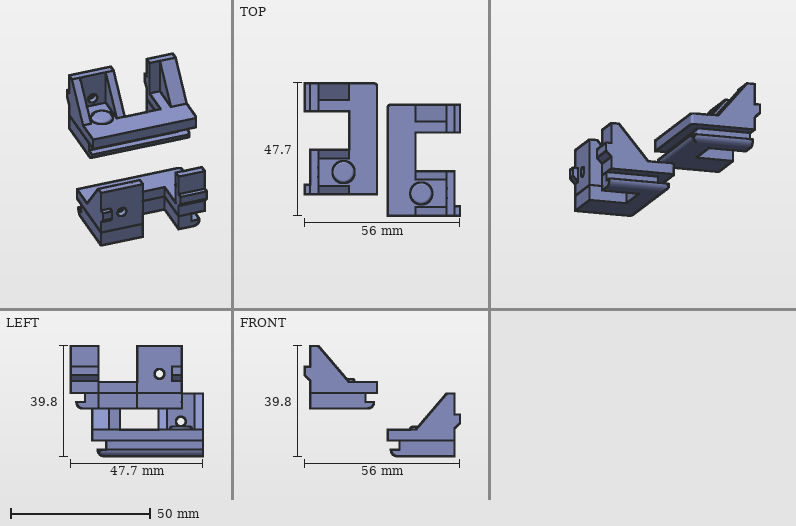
import cadquery as cq

OVERALL_X = 55.95
SHIFT_Y = -7.69
SHIFT_Z = -17.16

BASE_HEIGHT = 5.6
PLATE_THICKNESS = 4.0
BRACKET_HEIGHT = 17.0
PLATE_BOTTOM = BASE_HEIGHT
PLATE_TOP = PLATE_BOTTOM + PLATE_THICKNESS
WALL_TOP = PLATE_BOTTOM + BRACKET_HEIGHT

TOOTH_DEPTH = 2.0
WALL_THICKNESS = 2.9
RIB_RUN = 11.1
SPINE_WIDTH = 10.1
WALL_X = TOOTH_DEPTH
WALL_INNER_X = WALL_X + WALL_THICKNESS
SPINE_X = WALL_INNER_X + RIB_RUN
PLATE_END_X = SPINE_X + SPINE_WIDTH

LENGTH = 40.0
FRONT_LEG_WIDTH = 16.1
BACK_LEG_WIDTH = 10.1
BACK_LEG_Y = LENGTH - BACK_LEG_WIDTH
FRONT_RIB_WIDTH = 3.1
BACK_RIB_WIDTH = 6.1
FRONT_TOOTH_WIDTH = 3.5
PLATE_CORNER_RADIUS = 1.1

TOOTH_TOP = PLATE_BOTTOM + 9.5
TOOTH_TIP_BOTTOM = PLATE_BOTTOM + 6.4
TOOTH_ROOT = TOOTH_TIP_BOTTOM - TOOTH_DEPTH

HOLE_DIAMETER = 3.45
HOLE_Y = FRONT_LEG_WIDTH / 2
HOLE_Z = PLATE_BOTTOM + 6.9

LIP_HEIGHT = 2.45
LIP_INSET_X = 1.1
LIP_INSET_Y = 2.0
GROOVE_DEPTH = 3.1
LIP_CORNER_RADIUS = 1.25
NECK_CORNER_RADIUS = 1.0
LIP_ROUND_RADIUS = LIP_HEIGHT

BUTTON_DIAMETER = 8.0
BUTTON_HEIGHT = 1.08
BUTTON_ROUND_RADIUS = 1.0
BUTTON_X = SPINE_X - 2.0
BUTTON_Y = HOLE_Y


def box(x0, x1, y0, y1, z0, z1):
    """Box between two limits on each axis."""
    return cq.Workplane("XY").box(x1 - x0, y1 - y0, z1 - z0, centered=False).translate((x0, y0, z0))


def side_profile(points, y0, width):
    """Prism with an XZ outline, running from y0 toward +Y."""
    return cq.Workplane("XZ", origin=(0, y0, 0)).polyline(points).close().extrude(-width)


def leg_opening(z0, z1):
    """Space between the two legs, open toward the wall side."""
    return box(0, SPINE_X, FRONT_LEG_WIDTH, BACK_LEG_Y, z0, z1)


def slab(x1, y1, z0, z1, corner_radius):
    """Slab from the wall face and front face, rounded at its back spine corner."""
    return box(WALL_X, x1, 0, y1, z0, z1).edges("|Z and >X and >Y").fillet(corner_radius)


def rib(y0, width):
    """Triangular rib between wall top and plate."""
    outline = [(WALL_INNER_X, PLATE_TOP), (SPINE_X, PLATE_TOP), (WALL_INNER_X, WALL_TOP)]
    return side_profile(outline, y0, width)


def tooth(y0, width):
    """Latching tooth on the outside of the wall."""
    outline = [
        (WALL_X, TOOTH_TOP),
        (0, TOOTH_TOP),
        (0, TOOTH_TIP_BOTTOM),
        (WALL_X, TOOTH_ROOT),
    ]
    return side_profile(outline, y0, width)


def make_bracket():
    """C-shaped plate with a ribbed, toothed wall on each leg."""
    bracket = slab(PLATE_END_X, LENGTH, PLATE_BOTTOM, PLATE_TOP, PLATE_CORNER_RADIUS)
    bracket = bracket.union(box(WALL_X, WALL_INNER_X, 0, LENGTH, PLATE_BOTTOM, WALL_TOP))
    bracket = bracket.cut(leg_opening(PLATE_BOTTOM, WALL_TOP))

    front_inner_rib_y = FRONT_LEG_WIDTH - FRONT_RIB_WIDTH
    back_rib_y = LENGTH - BACK_RIB_WIDTH
    ribs = [(0, FRONT_RIB_WIDTH), (front_inner_rib_y, FRONT_RIB_WIDTH), (back_rib_y, BACK_RIB_WIDTH)]
    for y0, width in ribs:
        bracket = bracket.union(rib(y0, width))

    for y0, width in [(0, FRONT_TOOTH_WIDTH), (BACK_LEG_Y, BACK_LEG_WIDTH)]:
        bracket = bracket.union(tooth(y0, width))

    hole = (
        cq.Workplane("YZ", origin=(WALL_X, HOLE_Y, HOLE_Z))
        .circle(HOLE_DIAMETER / 2)
        .extrude(WALL_THICKNESS)
    )
    return bracket.cut(hole)


def make_base():
    """C-shaped base with a rounded lip below a neck."""
    lip_x = PLATE_END_X - LIP_INSET_X
    lip_y = LENGTH - LIP_INSET_Y
    lip = slab(lip_x, lip_y, 0, LIP_HEIGHT, LIP_CORNER_RADIUS)
    neck = slab(lip_x - GROOVE_DEPTH, lip_y - GROOVE_DEPTH, 0, BASE_HEIGHT, NECK_CORNER_RADIUS)
    lip = lip.intersect(lip_round_x(lip_x)).intersect(lip_round_y(lip_y))
    return lip.union(neck).cut(leg_opening(0, BASE_HEIGHT))


def lip_round_x(lip_x):
    """Full-length prism whose lower spine edge is rounded."""
    return box(WALL_X, lip_x, 0, LENGTH, 0, BASE_HEIGHT).edges(">X and <Z").fillet(LIP_ROUND_RADIUS)


def lip_round_y(lip_y):
    """Full-width prism whose lower back edge is rounded."""
    return box(WALL_X, PLATE_END_X, 0, lip_y, 0, BASE_HEIGHT).edges(">Y and <Z").fillet(LIP_ROUND_RADIUS)


def make_button():
    """Round button with a rounded top rim."""
    return (
        cq.Workplane("XY", origin=(BUTTON_X, BUTTON_Y, PLATE_TOP))
        .circle(BUTTON_DIAMETER / 2)
        .extrude(BUTTON_HEIGHT)
        .faces(">Z")
        .edges()
        .fillet(BUTTON_ROUND_RADIUS)
    )


def mirrored_copy(body):
    """Same body on the facing clip half."""
    return body.mirror("YZ").translate((OVERALL_X, SHIFT_Y, SHIFT_Z))


solids = []
for body in [make_bracket(), make_base(), make_button()]:
    solids.append(body.val())
    solids.append(mirrored_copy(body).val())

result = cq.Compound.makeCompound(solids)